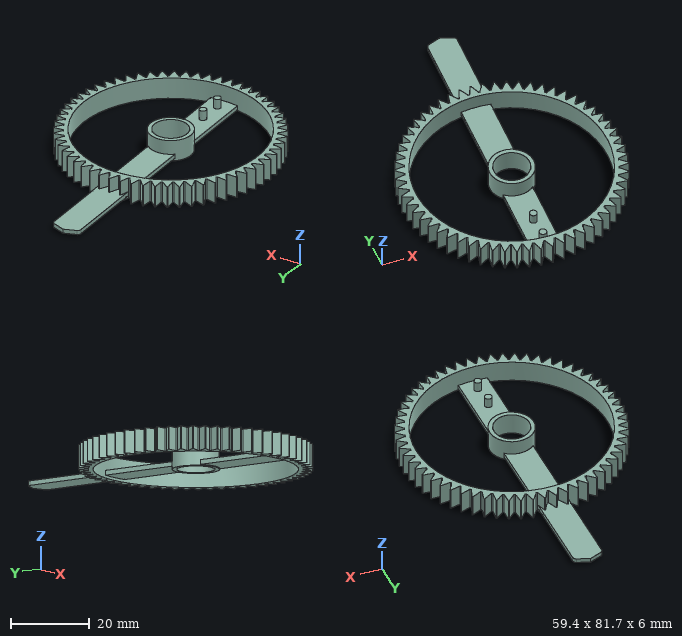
import cadquery as cq
import math

height = 6.0
tooth_count = 60
tip_radius = 29.7
root_radius = 27.2
tip_flat = 0.25
root_flat = 0.37
bore_diameter = 52.0

hub_diameter = 12.0
hub_bore_diameter = 9.6

arm_width = 8.0
arm_thickness = 1.2
lower_arm_bottom = 0.205
raised_arm_bottom = 0.7
total_length = 81.7
raised_arm_end = total_length - tip_radius
point_rise = 1.5
shoulder_fillet = 1.0
mid_wall_radius = (bore_diameter / 2 + root_radius) / 2

pin_diameter = 2.0
pin_top = 4.2
pin_distances = (15.5, 22.45)


def disc(diameter, bottom, top):
    return cq.Workplane("XY").workplane(offset=bottom).circle(diameter / 2).extrude(top - bottom)


def flat_ends(distance, width, angle):
    """Both ends of a short flat square to the radius at the given angle."""
    radial = cq.Vector(math.cos(angle), math.sin(angle))
    sideways = cq.Vector(-math.sin(angle), math.cos(angle))
    middle = radial * distance
    return [middle - sideways * (width / 2), middle + sideways * (width / 2)]


def toothed_disc():
    """Disc with straight-sided, flat-tipped teeth, one of them pointing along +X."""
    pitch = 2 * math.pi / tooth_count
    outline = []
    for tooth in range(tooth_count):
        outline += flat_ends(tip_radius, tip_flat, tooth * pitch)
        outline += flat_ends(root_radius, root_flat, (tooth + 0.5) * pitch)
    return cq.Workplane("XY").polyline(outline).close().extrude(height)


def lower_arm():
    """Plain bar from the hub axis to the middle of the ring wall on the -Y side."""
    bar = cq.Workplane("XY").box(arm_width, mid_wall_radius, arm_thickness, centered=(True, False, False))
    return bar.translate((0, -mid_wall_radius, lower_arm_bottom))


def raised_arm():
    """Bar from the hub axis out to a blunt point with rounded shoulders on the +Y side."""
    half_width = arm_width / 2
    shoulder = raised_arm_end - point_rise
    outline = [
        (-half_width, 0),
        (half_width, 0),
        (half_width, shoulder),
        (0, raised_arm_end),
        (-half_width, shoulder),
    ]
    base = cq.Workplane("XY").workplane(offset=raised_arm_bottom)
    bar = base.polyline(outline).close().extrude(arm_thickness)
    return bar.faces("<X or >X").edges("|Z and >Y").fillet(shoulder_fillet)


ring = toothed_disc().cut(disc(bore_diameter, 0, height))
hub = disc(hub_diameter, 0, height)
result = ring.union(lower_arm()).union(raised_arm()).union(hub)
result = result.cut(disc(hub_bore_diameter, 0, height))
for distance in pin_distances:
    pin = disc(pin_diameter, lower_arm_bottom, pin_top).translate((0, -distance, 0))
    result = result.union(pin)